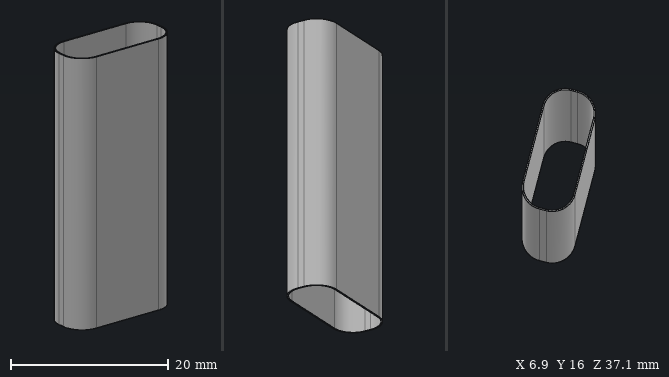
import cadquery as cq

width = 6.9
depth = 16.02
height = 37.08
corner_radius = 3.0
wall = 0.2


def rounded_bar(size_x, size_y, radius):
    """Upright bar centred on the origin with its four vertical edges rounded."""
    return cq.Workplane("XY").box(size_x, size_y, height).edges("|Z").fillet(radius)


outside = rounded_bar(width, depth, corner_radius)
bore = rounded_bar(width - 2 * wall, depth - 2 * wall, corner_radius - wall)

result = outside.cut(bore)